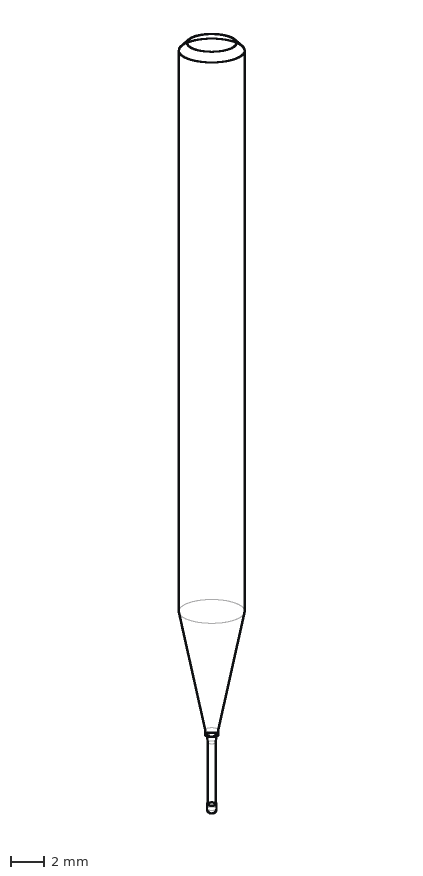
import cadquery as cq
import math

total_length = 50.0

shank_radius = 2.0
shank_start = 13.1
shank_chamfer = 0.5

collar_radius = 0.4
collar_start = 5.1
collar_length = 0.3

neck_radius = 0.25
flare_radius = 0.3
flare_length = 0.5

tip_radius = 0.3
tip_length = 0.6


def make_holder():
    """Chamfered shank, taper, collar and neck, revolved about Z."""
    return (
        cq.Workplane("XZ")
        .moveTo(0, tip_length)
        .lineTo(neck_radius, tip_length)
        .lineTo(neck_radius, collar_start - flare_length)
        .lineTo(flare_radius, collar_start)
        .lineTo(collar_radius, collar_start)
        .lineTo(collar_radius, collar_start + collar_length)
        .lineTo(shank_radius, shank_start)
        .lineTo(shank_radius, total_length - shank_chamfer)
        .lineTo(shank_radius - shank_chamfer, total_length)
        .lineTo(0, total_length)
        .close()
        .revolve(360, (0, 0), (0, 1))
    )


def make_cutting_tip():
    """Short cylinder ending in a hemisphere that touches Z = 0."""
    arc_offset = tip_radius * math.sqrt(0.5)
    return (
        cq.Workplane("XZ")
        .moveTo(0, 0)
        .threePointArc((arc_offset, tip_radius - arc_offset), (tip_radius, tip_radius))
        .lineTo(tip_radius, tip_length)
        .lineTo(0, tip_length)
        .close()
        .revolve(360, (0, 0), (0, 1))
    )


holder = make_holder()
cutting_tip = make_cutting_tip()

result = cq.Compound.makeCompound([holder.val(), cutting_tip.val()])